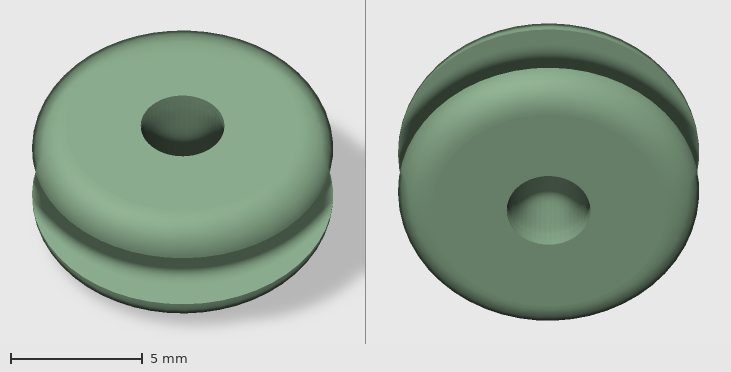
import cadquery as cq
import math

outer_diameter = 11.43
hub_diameter = 6.35
bore_diameter = 3.18
height = 5.07
flange_thickness = height / 4

outer_radius = outer_diameter / 2
hub_radius = hub_diameter / 2
bore_radius = bore_diameter / 2
half_height = height / 2
groove_half_width = half_height - flange_thickness

edge_radius = flange_thickness
flat_radius = outer_radius - edge_radius
arc_offset = edge_radius * math.sin(math.radians(45))
arc_mid_radius = flat_radius + arc_offset
arc_mid_height = groove_half_width + arc_offset

section = (
    cq.Workplane("XZ")
    .moveTo(bore_radius, -half_height)
    .lineTo(flat_radius, -half_height)
    .threePointArc((arc_mid_radius, -arc_mid_height), (outer_radius, -groove_half_width))
    .lineTo(hub_radius, -groove_half_width)
    .lineTo(hub_radius, groove_half_width)
    .lineTo(outer_radius, groove_half_width)
    .threePointArc((arc_mid_radius, arc_mid_height), (flat_radius, half_height))
    .lineTo(bore_radius, half_height)
    .close()
)

result = section.revolve(360, (0, 0, 0), (0, 1, 0))